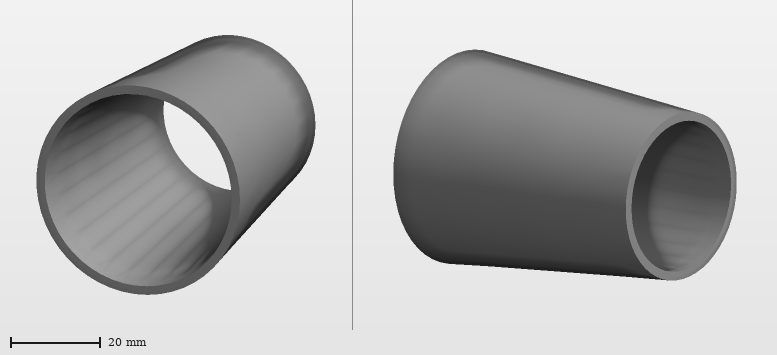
import cadquery as cq

length = 64.0
wide_diameter = 48.3
narrow_diameter = 38.0
wall = 2.0

wide_radius = wide_diameter / 2
narrow_radius = narrow_diameter / 2

wall_section = (
    cq.Workplane("XY")
    .moveTo(wide_radius - wall, 0)
    .lineTo(wide_radius, 0)
    .lineTo(narrow_radius, length)
    .lineTo(narrow_radius - wall, length)
    .close()
)

result = wall_section.revolve(360, (0, 0, 0), (0, 1, 0))